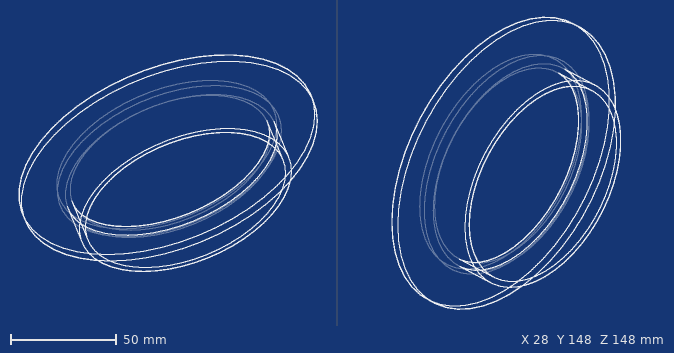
import cadquery as cq

flange_diameter = 148.0
flange_thickness = 4.0
tube_outer_diameter = 106.0
bore_diameter = 100.0
overall_length = 28.0
mouth_radius = 5.0
neck_radius = 3.0

flange_radius = flange_diameter / 2
tube_radius = tube_outer_diameter / 2
bore_radius = bore_diameter / 2


def make_collar():
    """Revolve the wall section, drawn as (axial, radial) points, about the X axis."""
    section = (
        cq.Workplane("XY")
        .moveTo(0, bore_radius + mouth_radius)
        .lineTo(0, flange_radius)
        .lineTo(flange_thickness, flange_radius)
        .lineTo(flange_thickness, tube_radius + neck_radius)
        .radiusArc((flange_thickness + neck_radius, tube_radius), -neck_radius)
        .lineTo(overall_length, tube_radius)
        .lineTo(overall_length, bore_radius)
        .lineTo(mouth_radius, bore_radius)
        .radiusArc((0, bore_radius + mouth_radius), mouth_radius)
        .close()
    )
    return section.revolve(360, (0, 0, 0), (1, 0, 0))


result = make_collar()